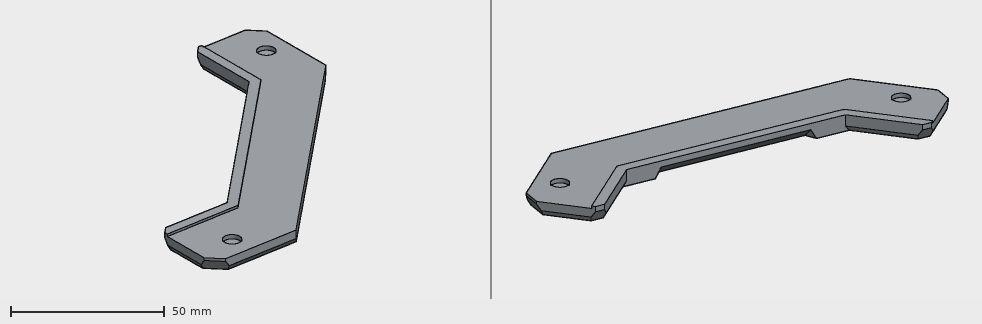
import cadquery as cq
import math

SIZE = 113.5
PLATE_HEIGHT = 5.1
LIP_HEIGHT = 6.0
LIP_WIDTH = 3.7
ARM_WIDTH = 27.4
OUTER_SIDE = 34.8
BAR_SUM = 114.6
OUTER_CORNER = 5.0
INNER_CORNER = 2.4

EDGE_INSET = 1.0
EDGE_HEIGHT = 1.9
CORNER_INSET = 2.0
CORNER_HEIGHT = 4.1

UNDERCUT_HEIGHT = 3.7
UNDERCUT_BOTTOM = 60.0
UNDERCUT_TOP = 55.6

RECESS_DIAMETER = 6.4
RECESS_DEPTH = 1.6
RECESS_FROM_END = 15.0
RECESS_FROM_SIDE = 8.6

OVERRUN = 5.7

arm_inner = SIZE - ARM_WIDTH
bend = BAR_SUM - arm_inner
lip_edge = arm_inner + LIP_WIDTH
lip_bend = BAR_SUM + LIP_WIDTH * math.sqrt(2) - lip_edge


def mirrored(point):
    """Reflect a plan point in the symmetry line y = x."""
    return (point[1], point[0])


def prism(points, height):
    return cq.Workplane("XY").polyline(points).close().extrude(height)


def bevel_tool(start, end, inset, height):
    """Wedge under a straight plan edge; the part lies to the left of start -> end."""
    length = math.dist(start, end)
    along = ((end[0] - start[0]) / length, (end[1] - start[1]) / length, 0)
    origin = (start[0] - OVERRUN * along[0], start[1] - OVERRUN * along[1], 0)
    plane = cq.Plane(origin=origin, xDir=(-along[1], along[0], 0), normal=along)
    profile = [(-OVERRUN, 0), (inset, 0), (0, height), (-OVERRUN, height)]
    return cq.Workplane(plane).polyline(profile).close().extrude(length + 2 * OVERRUN)


arm_points = [
    (bend, arm_inner),
    (INNER_CORNER, arm_inner),
    (0, arm_inner + INNER_CORNER),
    (0, SIZE - OUTER_CORNER),
    (OUTER_CORNER, SIZE),
    (OUTER_SIDE, SIZE),
]
other_arm_points = [mirrored(point) for point in reversed(arm_points)]
outline = arm_points + other_arm_points

body = prism(outline, PLATE_HEIGHT)
lip_area = [(0, 0), (0, lip_edge), (lip_bend, lip_edge), (lip_edge, lip_bend), (lip_edge, 0)]
body = body.union(prism(outline, LIP_HEIGHT).intersect(prism(lip_area, LIP_HEIGHT)))

bar_guard = prism(
    [
        (bend - OVERRUN, arm_inner + OVERRUN),
        (arm_inner + OVERRUN, bend - OVERRUN),
        (arm_inner + OVERRUN, bend + OVERRUN),
        (bend + OVERRUN, arm_inner + OVERRUN),
    ],
    LIP_HEIGHT,
)
edge_bevel = (EDGE_INSET, EDGE_HEIGHT)
corner_bevel = (CORNER_INSET, CORNER_HEIGHT)
arm_bevels = [edge_bevel, corner_bevel, edge_bevel, corner_bevel, edge_bevel]
for start, end, (inset, height) in zip(arm_points, arm_points[1:], arm_bevels):
    for first, last in [(end, start), (mirrored(start), mirrored(end))]:
        tool = bevel_tool(first, last, inset, height)
        if arm_points[0] in (start, end):
            tool = tool.cut(bar_guard)
        body = body.cut(tool)

slope_start = (BAR_SUM / 2, BAR_SUM / 2, UNDERCUT_HEIGHT)
slope_plane = cq.Plane(origin=slope_start, xDir=(1, -1, 0), normal=(1, 1, -math.sqrt(2)))
trapezium_height = UNDERCUT_HEIGHT / math.sqrt(2)
trapezium = [
    (-UNDERCUT_TOP / 2, 0),
    (UNDERCUT_TOP / 2, 0),
    (UNDERCUT_BOTTOM / 2, trapezium_height),
    (-UNDERCUT_BOTTOM / 2, trapezium_height),
]
undercut = cq.Workplane(slope_plane).polyline(trapezium).close().extrude(OVERRUN, both=True)
body = body.cut(undercut)

recess_centre = (RECESS_FROM_END, SIZE - RECESS_FROM_SIDE)
recesses = (
    cq.Workplane("XY", origin=(0, 0, PLATE_HEIGHT - RECESS_DEPTH))
    .pushPoints([recess_centre, mirrored(recess_centre)])
    .circle(RECESS_DIAMETER / 2)
    .extrude(RECESS_DEPTH)
)
result = body.cut(recesses)